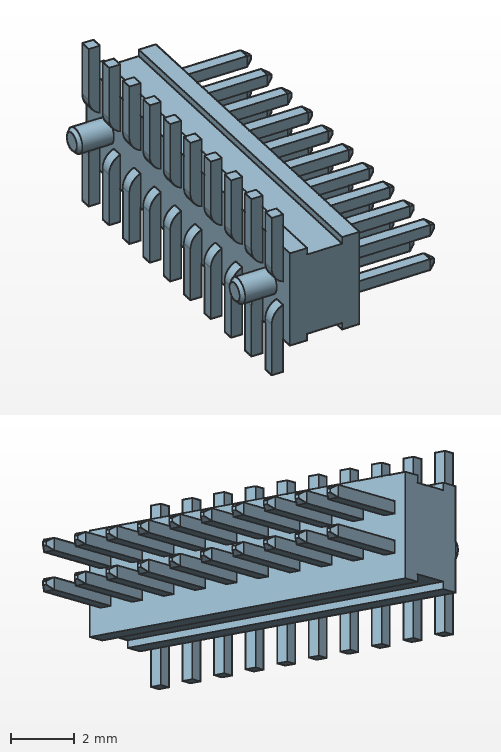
import cadquery as cq

pitch = 1.27
columns = 10
housing_length = columns * pitch
housing_depth = 2.51
housing_height = 3.43
groove_width = 1.27
groove_depth = 0.24
housing_front = 0.0
housing_back = housing_front + housing_depth

wire = 0.41
row_height = pitch / 2
pin_reach = 3.05
pin_span = 5.84
bend_radius = 0.64
bend_height = 0.6
tip_length = 0.23
tip_width = 0.13

peg_diameter = 0.89
peg_length = 1.27
peg_chamfer = 0.13
peg_spacing = housing_length - 2 * pitch


def make_block():
    """Housing block, centred on X and Z, with the two grooves cut along X."""
    block = cq.Workplane("XY").box(housing_length, housing_depth, housing_height)
    groove = cq.Workplane("XY").box(housing_length, groove_width, 2 * groove_depth)
    for side in (1, -1):
        block = block.cut(groove.translate((0, 0, side * housing_height / 2)))
    return block.translate((0, (housing_front + housing_back) / 2, 0))


def make_pin(x):
    """Upper-row pin at the given X: tapered tip at the back, arm flat against the housing front."""
    arm_front = housing_front - wire
    inner_z = row_height - wire / 2
    outer_z = row_height + wire / 2
    tip_start = housing_back + pin_reach - tip_length

    bent_wire = (
        cq.Workplane("YZ", origin=(x - wire / 2, 0, 0))
        .moveTo(tip_start, inner_z)
        .lineTo(housing_front, inner_z)
        .radiusArc((arm_front, inner_z + bend_height), bend_radius)
        .lineTo(arm_front, pin_span / 2)
        .lineTo(housing_front, pin_span / 2)
        .lineTo(housing_front, outer_z)
        .lineTo(tip_start, outer_z)
        .close()
        .extrude(wire)
    )
    tip = (
        cq.Workplane("XZ", origin=(x, tip_start, row_height))
        .rect(wire, wire)
        .workplane(offset=-tip_length)
        .rect(tip_width, tip_width)
        .loft(combine=True)
    )
    return bent_wire.union(tip)


def make_housing():
    """Block with both rows of pins, the lower row mirroring the upper one."""
    housing = make_block()
    for column in range(columns):
        upper_pin = make_pin((column - (columns - 1) / 2) * pitch)
        housing = housing.union(upper_pin).union(upper_pin.mirror("XY"))
    return housing.solids()


def make_peg(x):
    """Locating peg at the given X, chamfered at its free end."""
    return (
        cq.Workplane("XZ", origin=(x, housing_front, 0))
        .circle(peg_diameter / 2)
        .extrude(peg_length)
        .faces("<Y")
        .chamfer(peg_chamfer)
    )


housing = make_housing()
pegs = [make_peg(side * peg_spacing / 2) for side in (-1, 1)]

result = cq.Compound.makeCompound([housing.val(), *(peg.val() for peg in pegs)])